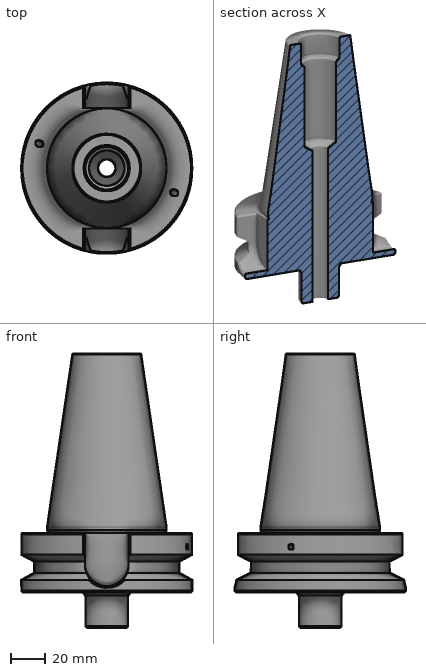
import cadquery as cq
import math

total_height = 160.3
gauge_height = 58.8
gauge_radius = 35.0
taper_ratio = 7 / 24
tip_chamfer = 0.6
gauge_band = 1.8
neck_radius = 34.1

flange_radius = 50.0
flange_top = 55.5
flange_bottom = 20.7
flange_top_chamfer = 0.8
flange_bottom_chamfer = 1.1
groove_radius = 42.5
groove_upper_edge = 42.8
groove_floor_top = 38.8
groove_floor_bottom = 32.0
groove_lower_edge = 27.9

pilot_radius = 12.5
pilot_chamfer = 1.1
pilot_root_radius = 13.8
pilot_root_height = 2.0

counterbore_radius = 12.5
counterbore_depth = 13.0
mouth_chamfer = 1.0
thread_radius = 10.34
thread_depth = 64.1
through_radius = 5.05
drill_half_angle = math.radians(59)

slot_width = 25.6
slot_floor = 35.3
slot_bottom = 24.4
slot_chamfer = 1.0

channel_azimuths = (-20, 160)
channel_radius = 2.0
channel_mouth = 42.0
channel_tilt = math.radians(35)
cross_hole_radius = 1.6
cross_hole_height = 47.3


def revolve(points):
    """Revolve a closed (radius, height) outline about the Z axis."""
    outline = cq.Workplane("XZ").polyline(points).close()
    return outline.revolve(360, (0, 0), (0, 1))


def make_flange():
    flange = revolve([
        (0, flange_bottom),
        (flange_radius - flange_bottom_chamfer, flange_bottom),
        (flange_radius, flange_bottom + flange_bottom_chamfer),
        (flange_radius, groove_lower_edge),
        (groove_radius, groove_floor_bottom),
        (groove_radius, groove_floor_top),
        (flange_radius, groove_upper_edge),
        (flange_radius, flange_top),
        (0, flange_top),
    ])
    for side in (-1, 1):
        flange = flange.cut(make_slot(side))
    return chamfer_slots(flange).cut(make_top_bevel())


def make_top_bevel():
    """Ring that bevels the upper rim of the flange."""
    return revolve([
        (flange_radius, flange_top - flange_top_chamfer),
        (flange_radius, flange_top),
        (flange_radius - flange_top_chamfer, flange_top),
    ])


def make_slot(side):
    """Round-bottomed slot that opens upwards and outwards."""
    half_width = slot_width / 2
    slot = (
        cq.Workplane("XZ", origin=(0, side * slot_floor, 0))
        .moveTo(-half_width, total_height)
        .lineTo(-half_width, slot_bottom + half_width)
        .threePointArc((0, slot_bottom), (half_width, slot_bottom + half_width))
        .lineTo(half_width, total_height)
        .close()
        .extrude(-side * flange_radius)
    )
    return slot


def chamfer_slots(flange):
    """Break the slot edges on the flange rim and along its top walls."""
    margin = 0.2
    half_width = slot_width / 2
    rim_reach = math.sqrt(flange_radius ** 2 - half_width ** 2)
    edges = []
    for edge in flange.edges().vals():
        box = edge.BoundingBox()
        in_slot = max(-box.xmin, box.xmax) < half_width + margin
        on_rim = min(abs(box.ymin), abs(box.ymax)) > rim_reach - margin
        above_bottom = box.zmin > slot_bottom - margin
        on_top_wall = box.zmin > flange_top - margin and box.ylen > margin
        if in_slot and above_bottom and (on_rim or on_top_wall):
            edges.append(edge)
    return flange.newObject(edges).chamfer(slot_chamfer)


def make_shank():
    tip_radius = gauge_radius - (total_height - gauge_height) * taper_ratio / 2
    return revolve([
        (0, flange_top),
        (neck_radius, flange_top),
        (gauge_radius, gauge_height - gauge_band),
        (gauge_radius, gauge_height),
        (tip_radius, total_height - tip_chamfer),
        (tip_radius - tip_chamfer, total_height),
        (0, total_height),
    ])


def make_pilot():
    return revolve([
        (0, 0),
        (pilot_radius - pilot_chamfer, 0),
        (pilot_radius, pilot_chamfer),
        (pilot_radius, flange_bottom - pilot_root_height),
        (pilot_root_radius, flange_bottom),
        (0, flange_bottom),
    ])


def make_bore():
    counterbore_floor = total_height - counterbore_depth
    thread_top = counterbore_floor - (counterbore_radius - thread_radius)
    thread_bottom = total_height - thread_depth
    drill_cone = (thread_radius - through_radius) / math.tan(drill_half_angle)
    return revolve([
        (0, 0),
        (through_radius, 0),
        (through_radius, thread_bottom - drill_cone),
        (thread_radius, thread_bottom),
        (thread_radius, thread_top),
        (counterbore_radius, counterbore_floor),
        (counterbore_radius, total_height - mouth_chamfer),
        (counterbore_radius + mouth_chamfer, total_height),
        (0, total_height),
    ])


def make_coolant_channel(azimuth):
    """Inclined channel from the flange top that meets a radial cross hole."""
    drop = flange_top - cross_hole_height
    meeting_radius = channel_mouth - drop * math.tan(channel_tilt)
    uphill = cq.Vector(math.sin(channel_tilt), 0, math.cos(channel_tilt))
    meeting_point = cq.Vector(meeting_radius, 0, cross_hole_height)
    clearance = 1.6
    channel_length = drop / math.cos(channel_tilt) + clearance
    cross_length = flange_radius - meeting_radius + clearance
    channel = cq.Solid.makeCylinder(channel_radius, channel_length, meeting_point, uphill)
    cross_hole = cq.Solid.makeCylinder(
        cross_hole_radius, cross_length, meeting_point, cq.Vector(1, 0, 0)
    )
    cutter = cq.Workplane(channel).union(cq.Workplane(cross_hole))
    return cutter.rotate((0, 0, 0), (0, 0, 1), azimuth)


result = make_flange().union(make_shank()).union(make_pilot()).cut(make_bore())
for channel_azimuth in channel_azimuths:
    result = result.cut(make_coolant_channel(channel_azimuth))